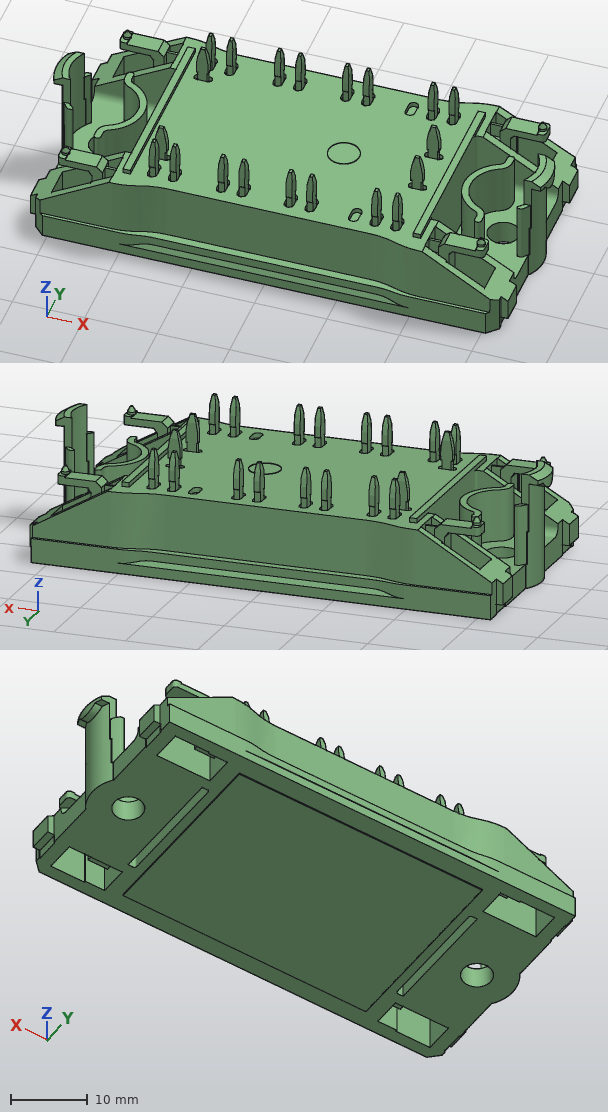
import math

import cadquery as cq

overall_length = 68.4
overall_width = 32.5

plate_top = 0.2
base_top = 3.55
body_top = 11.15
ridge_top = 11.75
part_top = 16.2

half_length = 32.0
half_width = overall_width / 2
corner_chamfer = 1.45
slope_angle = 30
slope_top_x = 21.6

upper_half_width = 15.8
waist_depth = 1.2
waist_half_length = 14.0
waist_end_x = 21.2
wall_draft = 1.8

recess_half_length = 19.9
recess_flat_half_length = 15.4
recess_depth = 0.5
recess_bottom = 1.65
recess_floor_rise = 0.7

plate_half_length = 19.15
plate_half_width = 13.55

ridge_x = 20.05
ridge_width = 1.0
ridge_length = 26.1

channel_inner_x = ridge_x + ridge_width / 2
channel_half_width = 8.95
channel_fillet = 1.15
channel_corner_radius = 0.35
slot_outer_x = 21.7
slot_half_width = 8.6

pocket_inner_x = 21.55
pocket_outer_x = 29.9
pocket_y_min = 10.2
pocket_y_max = 14.5
pad_end_x = 24.55
pad_y = 14.3

arm_y = 12.4
arm_width = 2.45
arm_tip_x = 29.4
arm_boss_x = 28.3
arm_bottom = 10.5
arm_top = 11.55
arm_bend_x = 24.0
arm_bend_drop = 0.75
arm_post_outer_x = 24.6
arm_post_inner_x = 23.2
arm_post_bevel_height = 0.7
arm_post_bevel_width = 0.5
arm_root_top = 8.9
arm_rib_width = 0.35
arm_tip_radius = 0.55
bump_x = 28.65
bump_diameter = 1.1
bump_base_height = 0.35
bump_cone_height = 0.7
bump_tip_diameter = 0.35

ear_x = 33.0
ear_y_min = 10.7
ear_y_max = 14.1
ear_bottom = 1.65
ear_notch_depth = 0.15

mount_x = 27.5
mount_diameter = 4.3
guard_radius = 5.0
guard_thickness = 0.95
guard_top = 10.7
guard_leg_offset = 1.2
guard_bend_y = 5.8
guard_end_y = 7.05
hook_inner_radius = 4.7
hook_outer_radius = 5.6
hook_lip_radius = overall_length / 2 - mount_x
hook_half_width = 2.8
hook_lower_half_width = 3.0
hook_lower_top = 8.0
hook_foot_half_width = 3.2
hook_foot_overlap = 0.7
hook_top = 15.9
lip_bottom = 14.6
lip_edge_top = 15.2
catch_bottom = 13.6
catch_half_width = 1.8
wing_half_width = 3.9
wing_inner_radius = 4.8
wing_outer_radius = 5.5
wing_edge_radius = 0.2
wing_top = 11.75

mark_x = 5.5
mark_diameter = 4.3
mark_depth = 0.1

pin_row_y = 11.35
pin_pair_pitch = 2.9
pin_pair_x = (-16.8, -7.3, 2.05, 13.9)
open_slot_x = 10.95
left_end_pin_y = 8.4
right_end_pin_y = 3.3
pin_thickness = 0.8
pin_tip_thickness = 0.4
pin_base_width = 1.3
pin_waist_width = 1.65
pin_shoulder_width = 1.2
pin_tip_width = 0.6
pin_waist_bottom = 12.3
pin_waist_top = 13.8
pin_shoulder_z = 15.05
pin_slot_length = 2.7
pin_slot_width = 1.3
end_slot_length = 2.45
end_slot_width = 1.0
pin_slot_depth = 0.7


def block(x_range, y_range, z_range):
    """Box given by its limits along X, Y and Z."""
    size = [high - low for low, high in (x_range, y_range, z_range)]
    corner = (x_range[0], y_range[0], z_range[0])
    return cq.Workplane("XY").box(*size, centered=False).translate(corner)


def mirror_both(shape, plane):
    """The shape together with its mirror image."""
    return shape.union(shape.mirror(plane))


def s_bend(sketch, start, end):
    """Two equal tangent arcs whose ends run along X."""
    mid = ((start[0] + end[0]) / 2, (start[1] + end[1]) / 2)
    return sketch.tangentArcPoint(mid, relative=False).tangentArcPoint(end, relative=False)


def slope_z(x):
    """Height of the sloped end top at distance x from the middle."""
    return body_top - (x - slope_top_x) * math.tan(math.radians(slope_angle))


def end_profile(outer_x):
    """Side profile of the housing, sloped down to the given end distance, across the full width."""
    end_z = slope_z(outer_x)
    points = [(-outer_x, plate_top), (-outer_x, end_z), (-slope_top_x, body_top),
              (slope_top_x, body_top), (outer_x, end_z), (outer_x, plate_top)]
    return cq.Workplane("XZ").polyline(points).close().extrude(half_width, both=True)


def make_upper_body():
    """Drafted prism with a waist, longer than the housing so that only its sides are drafted."""
    waist_y = upper_half_width - waist_depth
    far_x = 2 * half_length
    sketch = cq.Workplane("XY").workplane(offset=base_top)
    sketch = sketch.moveTo(-far_x, upper_half_width).lineTo(-waist_end_x, upper_half_width)
    sketch = s_bend(sketch, (-waist_end_x, upper_half_width), (-waist_half_length, waist_y))
    sketch = sketch.lineTo(waist_half_length, waist_y)
    sketch = s_bend(sketch, (waist_half_length, waist_y), (waist_end_x, upper_half_width))
    sketch = sketch.lineTo(far_x, upper_half_width).lineTo(far_x, -upper_half_width)
    sketch = sketch.lineTo(waist_end_x, -upper_half_width)
    sketch = s_bend(sketch, (waist_end_x, -upper_half_width), (waist_half_length, -waist_y))
    sketch = sketch.lineTo(-waist_half_length, -waist_y)
    sketch = s_bend(sketch, (-waist_half_length, -waist_y), (-waist_end_x, -upper_half_width))
    sketch = sketch.lineTo(-far_x, -upper_half_width).close()
    return sketch.extrude(body_top - base_top, taper=wall_draft)


def make_side_recess():
    """Shallow recess in the +Y side of the base, with a floor that rises inward."""
    wall_y = half_width - recess_depth
    sketch = cq.Workplane("XY").workplane(offset=recess_bottom).moveTo(-half_length, half_width)
    sketch = sketch.lineTo(-recess_half_length, half_width)
    sketch = s_bend(sketch, (-recess_half_length, half_width), (-recess_flat_half_length, wall_y))
    sketch = sketch.lineTo(recess_flat_half_length, wall_y)
    sketch = s_bend(sketch, (recess_flat_half_length, wall_y), (recess_half_length, half_width))
    sketch = sketch.lineTo(half_length, half_width)
    outer_y = half_width + recess_depth
    sketch = sketch.lineTo(half_length, outer_y).lineTo(-half_length, outer_y).close()
    outline = sketch.extrude(base_top - recess_bottom)
    section = [(half_width, recess_bottom), (wall_y, recess_bottom + recess_floor_rise),
               (wall_y, base_top), (outer_y, base_top), (outer_y, recess_bottom)]
    floor = cq.Workplane("YZ").polyline(section).close().extrude(recess_half_length, both=True)
    return outline.intersect(floor)


def make_housing():
    """Base, upper body and bottom plate, without the end cuts."""
    base = block((-half_length, half_length), (-half_width, half_width), (plate_top, base_top))
    housing = base.union(make_upper_body().intersect(end_profile(half_length)))
    corner = (
        cq.Workplane("XY")
        .polyline([(half_length, -half_width), (half_length - corner_chamfer, -half_width),
                   (half_length, -half_width + corner_chamfer)])
        .close()
        .extrude(body_top)
    )
    housing = housing.cut(mirror_both(corner, "YZ"))
    housing = housing.cut(mirror_both(make_side_recess(), "XZ"))
    plate = block((-plate_half_length, plate_half_length),
                  (-plate_half_width, plate_half_width), (0, plate_top))
    return housing.union(plate)


def make_end_cuts():
    """Everything removed at the +X end."""
    channel = block((channel_inner_x, half_length), (-channel_half_width, channel_half_width),
                    (base_top, body_top))
    rounded_end = channel.edges("|Z and <X").fillet(channel_corner_radius)
    channel = channel.edges("|X and <Z").fillet(channel_fillet).intersect(rounded_end)
    slot = block((channel_inner_x, slot_outer_x), (-slot_half_width, slot_half_width),
                 (0, body_top))
    slot = slot.edges("|Z and <X").fillet(channel_corner_radius)
    pocket = block((pocket_inner_x, pocket_outer_x), (pocket_y_min, pocket_y_max), (0, body_top))
    pocket = pocket.cut(block((pocket_inner_x, pad_end_x), (pad_y, pocket_y_max), (0, body_top)))
    notch = block((half_length - ear_notch_depth, half_length), (ear_y_min, ear_y_max),
                  (plate_top, ear_bottom))
    return channel.union(slot).union(mirror_both(pocket.union(notch), "XZ"))


def make_ear():
    """Ear on the end face, topped by the same slope as the housing."""
    ear = block((half_length - ear_notch_depth, ear_x), (ear_y_min, ear_y_max),
                (ear_bottom, body_top))
    return ear.intersect(end_profile(ear_x))


def make_arm():
    """Spring arm with its post and contact bump, at the +X, +Y corner."""
    profile = [(pocket_inner_x, base_top), (arm_post_outer_x, base_top),
               (arm_post_outer_x, arm_bottom - arm_post_bevel_height),
               (arm_post_outer_x + arm_post_bevel_width, arm_bottom),
               (arm_tip_x, arm_bottom), (arm_tip_x, ridge_top), (arm_boss_x, ridge_top),
               (arm_boss_x, arm_top), (arm_bend_x, arm_top),
               (arm_post_inner_x, arm_top - arm_bend_drop), (arm_post_inner_x, arm_root_top),
               (pocket_inner_x, arm_root_top)]
    arm = (
        cq.Workplane("XZ", origin=(0, arm_y, 0))
        .polyline(profile)
        .close()
        .extrude(arm_width / 2, both=True)
        .edges("|Z and >X")
        .fillet(arm_tip_radius)
    )
    rib = block((pocket_inner_x, arm_post_inner_x),
                (arm_y - arm_rib_width / 2, arm_y + arm_rib_width / 2),
                (arm_root_top, arm_top - arm_bend_drop))
    bump_base = cq.Workplane("XY", origin=(bump_x, arm_y, ridge_top)).circle(bump_diameter / 2)
    bump = bump_base.extrude(bump_base_height)
    cone = (
        bump.faces(">Z")
        .workplane()
        .circle(bump_diameter / 2)
        .workplane(offset=bump_cone_height)
        .circle(bump_tip_diameter / 2)
        .loft(combine=True)
    )
    return arm.union(rib).union(cone)


def make_guard_wall():
    """Curved wall beside the mounting hole: an arc that bends back into two straight legs."""
    half = guard_thickness / 2
    reach = guard_bend_y**2 + guard_leg_offset**2 - guard_radius**2
    bend_radius = reach / (2 * (guard_radius - guard_leg_offset))
    bend_x = guard_leg_offset + bend_radius
    joint_angle = math.atan2(guard_bend_y, bend_x)
    bend_mid_angle = math.pi + joint_angle / 2

    def edge_points(shift):
        """Radius, arc joint, bend middle and leg position of one wall face."""
        radius = guard_radius + shift
        bend = bend_radius - shift
        joint = (radius * math.cos(joint_angle), radius * math.sin(joint_angle))
        middle = (bend_x + bend * math.cos(bend_mid_angle),
                  guard_bend_y + bend * math.sin(bend_mid_angle))
        leg_x = guard_leg_offset + shift
        return radius, joint, middle, leg_x

    radius, joint, middle, leg_x = edge_points(half)
    leg_end_y = guard_end_y - half
    sketch = cq.Workplane("XY").moveTo(leg_x, leg_end_y).lineTo(leg_x, guard_bend_y)
    sketch = sketch.threePointArc(middle, joint)
    sketch = sketch.threePointArc((radius, 0), (joint[0], -joint[1]))
    sketch = sketch.threePointArc((middle[0], -middle[1]), (leg_x, -guard_bend_y))
    sketch = sketch.lineTo(leg_x, -leg_end_y)
    radius, joint, middle, leg_x = edge_points(-half)
    sketch = sketch.threePointArc((guard_leg_offset, -guard_end_y), (leg_x, -leg_end_y))
    sketch = sketch.lineTo(leg_x, -guard_bend_y)
    sketch = sketch.threePointArc((middle[0], -middle[1]), (joint[0], -joint[1]))
    sketch = sketch.threePointArc((radius, 0), joint)
    sketch = sketch.threePointArc(middle, (leg_x, guard_bend_y))
    sketch = sketch.lineTo(leg_x, leg_end_y)
    sketch = sketch.threePointArc((guard_leg_offset, guard_end_y),
                                  (leg_x + guard_thickness, leg_end_y)).close()
    wall = sketch.extrude(guard_top - plate_top)
    return wall.mirror("YZ").translate((mount_x, 0, plate_top))


def revolved(profile, half_span):
    """Ring about the mounting axis, kept on the outer side within +-half_span in Y."""
    ring = cq.Workplane("XZ").polyline(profile).close().revolve(360, (0, 0), (0, 1))
    window = block((0, hook_lip_radius), (-half_span, half_span), (0, part_top))
    return ring.intersect(window)


def ring_section(inner, outer, bottom, top):
    """Corner points of a rectangular ring section."""
    return [(inner, bottom), (outer, bottom), (outer, top), (inner, top)]


def make_hook():
    """Snap hook standing outside the +X end, concentric with the mounting hole."""
    foot_inner = half_length - mount_x - hook_foot_overlap
    foot = revolved(ring_section(foot_inner, hook_outer_radius, plate_top, base_top),
                    hook_foot_half_width)
    column = revolved(ring_section(hook_inner_radius, hook_outer_radius, base_top, hook_top),
                      hook_half_width)
    lower = revolved(ring_section(hook_inner_radius, hook_outer_radius, base_top, hook_lower_top),
                     hook_lower_half_width)
    wings = revolved(ring_section(wing_inner_radius, wing_outer_radius, plate_top, wing_top),
                     wing_half_width)
    wings = wings.edges("|Z").fillet(wing_edge_radius)
    lip_profile = [(hook_inner_radius, lip_bottom), (hook_lip_radius, lip_bottom),
                   (hook_lip_radius, lip_edge_top), (hook_outer_radius, hook_top),
                   (hook_inner_radius, hook_top)]
    lip = revolved(lip_profile, hook_half_width)
    catch = revolved(ring_section(hook_inner_radius, hook_lip_radius, catch_bottom, lip_bottom),
                     catch_half_width)
    catch_outline = (
        cq.Workplane("YZ")
        .moveTo(-catch_half_width, lip_bottom)
        .threePointArc((0, catch_bottom), (catch_half_width, lip_bottom))
        .close()
        .extrude(hook_lip_radius)
    )
    catch = catch.intersect(catch_outline)
    hook = foot.union(column).union(lower).union(wings).union(lip).union(catch)
    return hook.translate((mount_x, 0, 0))


def make_pin():
    """Press-fit pin standing on the Z axis, wide along Y, reaching down into its opening."""
    foot_z = body_top - pin_slot_depth
    widths = [(pin_base_width, foot_z), (pin_base_width, pin_waist_bottom),
              (pin_waist_width, pin_waist_bottom), (pin_waist_width, pin_waist_top),
              (pin_shoulder_width, pin_shoulder_z), (pin_tip_width, part_top)]
    thicknesses = [(pin_thickness, foot_z), (pin_thickness, pin_shoulder_z),
                   (pin_tip_thickness, part_top)]

    def symmetric(plane, sizes, depth):
        """Slab whose outline has the given full sizes at the given heights."""
        right = [(size / 2, z) for size, z in sizes]
        left = [(-size / 2, z) for size, z in reversed(sizes)]
        return cq.Workplane(plane).polyline(right + left).close().extrude(depth, both=True)

    return symmetric("YZ", widths, pin_thickness).intersect(
        symmetric("XZ", thicknesses, pin_waist_width))


def cut_slots(body, points, length, width, angle):
    """Cut round-ended openings into the top face, turned by angle from the X axis."""
    slots = (
        cq.Workplane("XY", origin=(0, 0, body_top))
        .pushPoints(points)
        .slot2D(length, width, angle)
        .extrude(-pin_slot_depth)
    )
    return body.cut(slots)


result = make_housing()

end_cuts = make_end_cuts()
result = result.cut(mirror_both(end_cuts, "YZ"))
end_parts = mirror_both(make_ear().union(make_arm()), "XZ").union(make_guard_wall())
end_parts = end_parts.union(make_hook())
result = result.union(mirror_both(end_parts, "YZ"))
mount_holes = (
    cq.Workplane("XY")
    .pushPoints([(-mount_x, 0), (mount_x, 0)])
    .circle(mount_diameter / 2)
    .extrude(base_top)
)
result = result.cut(mount_holes)

for side in (-1, 1):
    x = side * ridge_x
    result = result.union(block((x - ridge_width / 2, x + ridge_width / 2),
                                (-ridge_length / 2, ridge_length / 2), (base_top, ridge_top)))
mark = cq.Workplane("XY", origin=(mark_x, 0, body_top)).circle(mark_diameter / 2)
result = result.cut(mark.extrude(-mark_depth))

pin_row_x = [x + shift for x in pin_pair_x for shift in (0, pin_pair_pitch)]
row_points = [(x, y) for x in pin_row_x for y in (-pin_row_y, pin_row_y)]
end_points = [(pin_row_x[0], -left_end_pin_y), (pin_row_x[0], left_end_pin_y),
              (pin_row_x[-1], -right_end_pin_y), (pin_row_x[-1], right_end_pin_y)]
open_points = [(open_slot_x, -pin_row_y), (open_slot_x, pin_row_y)]
result = cut_slots(result, row_points + open_points, pin_slot_length, pin_slot_width, 90)
result = cut_slots(result, end_points, end_slot_length, end_slot_width, 0)
pin = make_pin()
end_pin = pin.rotate((0, 0, 0), (0, 0, 1), 90)
for x, y in row_points:
    result = result.union(pin.translate((x, y, 0)))
for x, y in end_points:
    result = result.union(end_pin.translate((x, y, 0)))